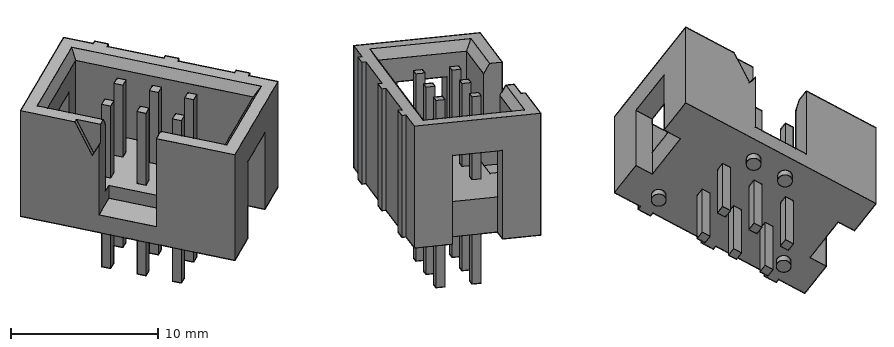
import cadquery as cq

length = 15.4
depth = 8.9
height = 8.9
wall = 1.32
floor_height = 2.57
cavity_length = length - 2 * wall
cavity_depth = depth - 2 * wall

lead_in_width = 0.43
lead_in_height = 0.71

key_slot_width = 4.11
key_slot_reach = 2.02
key_slot_bottom = 1.5
window_width = 3.51
window_top = 6.47

pitch = 2.54
columns = 3
rows = 2
pin_width = 0.65
pin_top_gap = 0.28
pin_tail = 5.05

mark_half_width = 1.25
mark_height = 2.53
mark_depth = 0.31

rib_width = 1.0
rib_depth = 0.3
rib_pitch = 2 * pitch
rib_count = 3

standoff_diameter = 1.0
standoff_height = 0.55
standoff_outer_x = 5.05
standoff_inner_x = pitch / 2
standoff_y = 3.0

base_box = (True, True, False)

front_y = -depth / 2
back_y = depth / 2
first_pin_x = -pitch * (columns - 1) / 2


def make_housing():
    """Open-topped box with a sloped lead-in around its mouth."""
    cavity_height = height - floor_height
    box = cq.Workplane("XY").box(length, depth, height, centered=base_box)
    cavity = (
        cq.Workplane("XY", origin=(0, 0, floor_height))
        .box(cavity_length, cavity_depth, cavity_height, centered=base_box)
    )
    lead_in = (
        cq.Workplane("XY", origin=(0, 0, height - lead_in_height))
        .rect(cavity_length, cavity_depth)
        .workplane(offset=lead_in_height)
        .rect(cavity_length + 2 * lead_in_width, cavity_depth + 2 * lead_in_width)
        .loft(ruled=True)
    )
    return box.cut(cavity).cut(lead_in)


def make_key_slot():
    """Cutter for the polarising slot in the front wall, open at the top."""
    return (
        cq.Workplane("XY", origin=(0, front_y + key_slot_reach / 2, key_slot_bottom))
        .box(key_slot_width, key_slot_reach, height - key_slot_bottom, centered=base_box)
    )


def make_end_window(side):
    """Cutter through one end wall, open at the bottom; side is -1 or 1."""
    centre_x = side * (length - wall) / 2
    return (
        cq.Workplane("XY", origin=(centre_x, 0, 0))
        .box(wall, window_width, window_top, centered=base_box)
    )


def make_pin_mark():
    """Cutter for the V notch in the front face, in line with the first pin."""
    return (
        cq.Workplane("XZ", origin=(first_pin_x, front_y, height))
        .moveTo(-mark_half_width, 0)
        .lineTo(mark_half_width, 0)
        .lineTo(0, -mark_height)
        .close()
        .extrude(-mark_depth)
    )


def make_ribs():
    """Evenly spaced full-height ribs on the back face."""
    return (
        cq.Workplane("XY", origin=(0, back_y + rib_depth / 2, 0))
        .rarray(rib_pitch, 0.15, rib_count, 1)
        .rect(rib_width, rib_depth)
        .extrude(height)
    )


def make_pins():
    """Grid of square pins running through the floor."""
    return (
        cq.Workplane("XY", origin=(0, 0, -pin_tail))
        .rarray(pitch, pitch, columns, rows)
        .rect(pin_width, pin_width)
        .extrude(pin_tail + height - pin_top_gap)
    )


def make_standoffs():
    """Short round feet below the floor: an inner pair in front, an outer pair behind."""
    front_pair = [(side * standoff_inner_x, -standoff_y) for side in (-1, 1)]
    back_pair = [(side * standoff_outer_x, standoff_y) for side in (-1, 1)]
    return (
        cq.Workplane("XY")
        .pushPoints(front_pair + back_pair)
        .circle(standoff_diameter / 2)
        .extrude(-standoff_height)
    )


housing = make_housing().cut(make_key_slot()).cut(make_pin_mark())
for end in (-1, 1):
    housing = housing.cut(make_end_window(end))

result = housing.union(make_ribs()).union(make_pins()).union(make_standoffs())